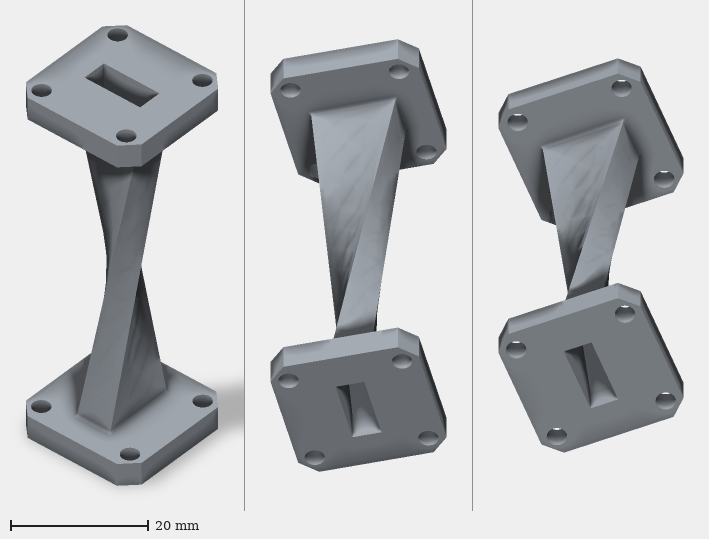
import cadquery as cq

length = 63.5
flange_side = 22.2
flange_thickness = 4.05
corner_chamfer = 2.55

bore_wide = 10.65
bore_narrow = 4.3
wall = 1.0
root_fillet = 0.5

hole_diameter = 3.0
hole_pitch_along = 16.25
hole_pitch_across = 17.0

tube_bottom = flange_thickness
tube_top = length - flange_thickness


def twisted_bar(wide, narrow):
    """Solid between the flanges, with straight edges joining two crossed rectangles."""
    x, y = wide / 2, narrow / 2
    corners = [(x, -y), (x, y), (-x, y), (-x, -y)]
    top = [cq.Vector(px, py, tube_top) for px, py in corners]
    bottom = [cq.Vector(py, -px, tube_bottom) for px, py in corners]

    faces = []
    for ring in (bottom, top):
        faces.append(cq.Face.makeFromWires(cq.Wire.makePolygon(ring, close=True)))
    for i in range(len(corners)):
        j = (i + 1) % len(corners)
        bottom_edge = cq.Edge.makeLine(bottom[i], bottom[j])
        top_edge = cq.Edge.makeLine(top[i], top[j])
        faces.append(cq.Face.makeRuledSurface(bottom_edge, top_edge))
    solid = cq.Solid.makeSolid(cq.Shell.makeShell(faces))
    return cq.Workplane(solid.fix())


def flange(base_z):
    """Square plate with cut corners, resting on base_z."""
    return (
        cq.Workplane(origin=(0, 0, base_z))
        .rect(flange_side, flange_side)
        .extrude(flange_thickness)
        .edges("|Z")
        .chamfer(corner_chamfer)
    )


def flange_openings(base_z, bore_x, bore_y, pitch_x, pitch_y):
    """Waveguide opening and four bolt holes through one flange."""
    plane = cq.Workplane(origin=(0, 0, base_z))
    bore = plane.rect(bore_x, bore_y).extrude(flange_thickness)
    holes = (
        plane.rect(pitch_x, pitch_y, forConstruction=True)
        .vertices()
        .circle(hole_diameter / 2)
        .extrude(flange_thickness)
    )
    return bore.union(holes)


body = twisted_bar(bore_wide + 2 * wall, bore_narrow + 2 * wall)
body = body.union(flange(0)).union(flange(tube_top))

tube_reach = bore_wide / 2 + 2 * wall
for z in (tube_bottom, tube_top):
    root_zone = cq.selectors.BoxSelector(
        (-tube_reach, -tube_reach, z - root_fillet),
        (tube_reach, tube_reach, z + root_fillet),
    )
    body = body.edges(root_zone).fillet(root_fillet)

result = cq.Workplane(
    body.cut(twisted_bar(bore_wide, bore_narrow))
    .cut(flange_openings(0, bore_narrow, bore_wide, hole_pitch_across, hole_pitch_along))
    .cut(flange_openings(tube_top, bore_wide, bore_narrow, hole_pitch_along, hole_pitch_across))
    .solids()
    .val()
)